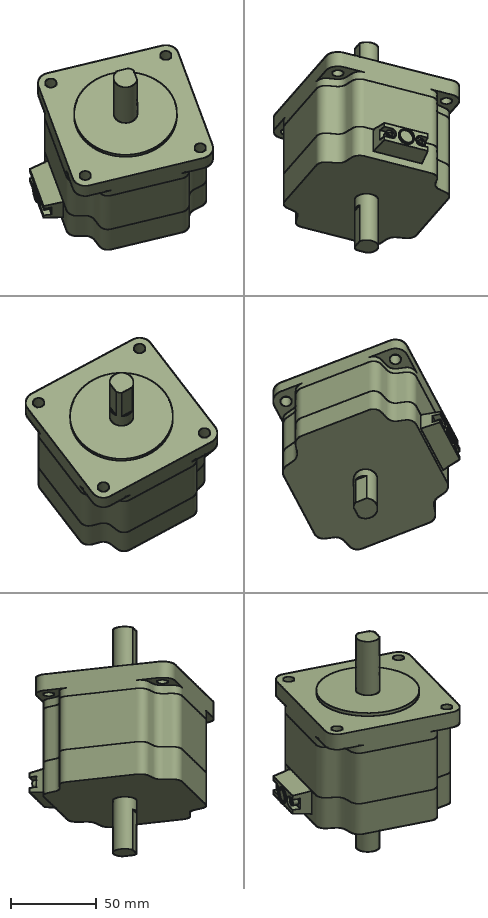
import cadquery as cq
import math


FRAME_WIDTH = 85.0
HALF_WIDTH = FRAME_WIDTH / 2
FRAME_LENGTH = 68.0
REAR_CAP_LENGTH = 20.0
FRONT_CAP_LENGTH = 15.1
FLANGE_THICKNESS = 10.0
FLANGE_BOTTOM = FRAME_LENGTH - FLANGE_THICKNESS
STATOR_TOP = FRAME_LENGTH - FRONT_CAP_LENGTH
STATOR_LENGTH = STATOR_TOP - REAR_CAP_LENGTH
PILOT_DIAMETER = 60.0
PILOT_HEIGHT = 2.0

HOLE_OFFSET = 35.0
HOLE_DIAMETER = 6.6
FLANGE_CORNER_RADIUS = HALF_WIDTH - HOLE_OFFSET
RELIEF_RADIUS = 6.5
RELIEF_ROUND_RADIUS = 6.0
RELIEF_WALL_ANGLE = 15.0

SHAFT_DIAMETER = 14.0
SHAFT_LENGTH = 137.0
REAR_SHAFT_LENGTH = 32.0
FLAT_LENGTH = 25.0
FLAT_OFFSET = 6.0

CONNECTOR_WIDTH = 31.2
CONNECTOR_HEIGHT = 15.1
CONNECTOR_TAPER = 1.6
CONNECTOR_DEPTH = 11.5
CONNECTOR_Z = REAR_CAP_LENGTH - CONNECTOR_HEIGHT / 2
TIP_Y = -HALF_WIDTH - CONNECTOR_DEPTH
RING_DIAMETER = 9.7
RING_BORE_DIAMETER = 8.8
RING_HEIGHT = 1.1

SLOT_WIDTH = 6.6
SLOT_DEPTH = 4.7
SLOT_FLOOR_Y = TIP_Y + SLOT_DEPTH
SCREW_OFFSET = 9.7
SCREW_DIAMETER = 5.1
SCREW_HEIGHT = 3.5
SOCKET_DIAMETER = 2.6
SOCKET_DEPTH = 2.7


def relief_corner():
    """Corner of the relieved section in the +X +Y quadrant, from the +X side round to the +Y side.

    Returns the start point and a list of (kind, points) steps.
    """
    angle = math.radians(RELIEF_WALL_ANGLE)
    sin_a, cos_a = math.sin(angle), math.cos(angle)

    hollow_start = (HOLE_OFFSET - RELIEF_RADIUS * sin_a, HOLE_OFFSET - RELIEF_RADIUS * cos_a)
    hollow_mid = HOLE_OFFSET - RELIEF_RADIUS * math.sqrt(0.5)

    round_x = HALF_WIDTH - RELIEF_ROUND_RADIUS
    round_end_x = round_x + RELIEF_ROUND_RADIUS * sin_a
    round_end_y = hollow_start[1] - (round_end_x - hollow_start[0]) * math.tan(angle)
    round_y = round_end_y - RELIEF_ROUND_RADIUS * cos_a
    mid_angle = (math.pi / 2 - angle) / 2
    round_mid = (
        round_x + RELIEF_ROUND_RADIUS * math.cos(mid_angle),
        round_y + RELIEF_ROUND_RADIUS * math.sin(mid_angle),
    )

    def mirrored(point):
        return (point[1], point[0])

    start = (HALF_WIDTH, round_y)
    round_end = (round_end_x, round_end_y)
    steps = [
        ("arc", [round_mid, round_end]),
        ("line", [hollow_start]),
        ("arc", [(hollow_mid, hollow_mid), mirrored(hollow_start)]),
        ("line", [mirrored(round_end)]),
        ("arc", [mirrored(round_mid), mirrored(start)]),
    ]
    return start, steps


def quarter_turned(point, turns):
    """Turn a point about the motor axis by quarter turns."""
    x, y = point
    for _ in range(turns):
        x, y = -y, x
    return (x, y)


def frame_prism(bottom, length):
    """Prism with the relieved motor section."""
    start, steps = relief_corner()
    outline = cq.Workplane("XY").workplane(offset=bottom).moveTo(*start)
    for turns in range(4):
        if turns > 0:
            outline = outline.lineTo(*quarter_turned(start, turns))
        for kind, points in steps:
            turned = [quarter_turned(point, turns) for point in points]
            if kind == "arc":
                outline = outline.threePointArc(*turned)
            else:
                outline = outline.lineTo(*turned[0])
    return outline.close().extrude(length)


def z_cylinder(diameter, bottom, length):
    """Cylinder on the motor axis."""
    return cq.Workplane("XY").workplane(offset=bottom).circle(diameter / 2).extrude(length)


SHAFT_ROD = z_cylinder(SHAFT_DIAMETER, -REAR_SHAFT_LENGTH, SHAFT_LENGTH)


def build_front_cap():
    """Mounting flange with its pilot, and the relieved section below it."""
    flange = (
        cq.Workplane("XY")
        .workplane(offset=FLANGE_BOTTOM)
        .rect(FRAME_WIDTH, FRAME_WIDTH)
        .extrude(FLANGE_THICKNESS)
        .edges("|Z")
        .fillet(FLANGE_CORNER_RADIUS)
    )
    holes = (
        cq.Workplane("XY")
        .workplane(offset=FLANGE_BOTTOM)
        .rect(2 * HOLE_OFFSET, 2 * HOLE_OFFSET, forConstruction=True)
        .vertices()
        .circle(HOLE_DIAMETER / 2)
        .extrude(FLANGE_THICKNESS)
    )
    skirt = frame_prism(STATOR_TOP, FLANGE_BOTTOM - STATOR_TOP)
    pilot = z_cylinder(PILOT_DIAMETER, FRAME_LENGTH, PILOT_HEIGHT)
    return flange.cut(holes).union(skirt).union(pilot).cut(SHAFT_ROD)


def build_stator():
    """Middle of the frame, between the two caps."""
    return frame_prism(REAR_CAP_LENGTH, STATOR_LENGTH).cut(SHAFT_ROD)


def connector_plane(y):
    """XZ sketch plane at the given Y whose normal is -Y, centred on the connector axis."""
    return cq.Workplane("XZ", origin=(0, y, CONNECTOR_Z))


def screw_slot(side):
    """Slot cut from the connector tip, open at the side and round at its inner end."""
    outer_x = CONNECTOR_WIDTH / 2
    straight = outer_x - SCREW_OFFSET
    channel = (
        connector_plane(SLOT_FLOOR_Y)
        .center(side * (SCREW_OFFSET + straight / 2), 0)
        .rect(straight, SLOT_WIDTH)
        .extrude(SLOT_DEPTH)
    )
    inner_end = (
        connector_plane(SLOT_FLOOR_Y)
        .center(side * SCREW_OFFSET, 0)
        .circle(SLOT_WIDTH / 2)
        .extrude(SLOT_DEPTH)
    )
    return channel.union(inner_end)


def screw_head(side):
    """Socket screw head standing on the slot floor."""
    head = (
        connector_plane(SLOT_FLOOR_Y)
        .center(side * SCREW_OFFSET, 0)
        .circle(SCREW_DIAMETER / 2)
        .extrude(SCREW_HEIGHT)
    )
    socket = (
        connector_plane(SLOT_FLOOR_Y - SCREW_HEIGHT)
        .center(side * SCREW_OFFSET, 0)
        .circle(SOCKET_DIAMETER / 2)
        .extrude(-SOCKET_DEPTH)
    )
    return head.cut(socket)


def build_connector():
    """Tapered connector housing with a thin raised ring and two screw heads in slots."""
    connector = (
        connector_plane(-HALF_WIDTH)
        .rect(CONNECTOR_WIDTH, CONNECTOR_HEIGHT)
        .workplane(offset=CONNECTOR_DEPTH)
        .rect(CONNECTOR_WIDTH - 2 * CONNECTOR_TAPER, CONNECTOR_HEIGHT - 2 * CONNECTOR_TAPER)
        .loft(ruled=True)
    )
    for side in (-1, 1):
        connector = connector.cut(screw_slot(side)).union(screw_head(side))
    ring = (
        connector_plane(TIP_Y)
        .circle(RING_DIAMETER / 2)
        .circle(RING_BORE_DIAMETER / 2)
        .extrude(RING_HEIGHT)
    )
    return connector.union(ring)


def build_rear_cap():
    """Rear end of the frame, carrying the connector."""
    return frame_prism(0, REAR_CAP_LENGTH).cut(SHAFT_ROD).union(build_connector())


def build_shaft():
    """Through shaft with a flat on the -X side and another on the +Y side at each end."""
    shaft_top = SHAFT_LENGTH - REAR_SHAFT_LENGTH
    radius = SHAFT_DIAMETER / 2
    shaft = SHAFT_ROD
    for bottom in (-REAR_SHAFT_LENGTH, shaft_top - FLAT_LENGTH):
        cutter = cq.Workplane("XY").box(
            radius, SHAFT_DIAMETER, FLAT_LENGTH, centered=(False, True, False)
        )
        cutter = cutter.translate((FLAT_OFFSET, 0, bottom))
        for angle in (90, 180):
            shaft = shaft.cut(cutter.rotate((0, 0, 0), (0, 0, 1), angle))
    return shaft


front_cap = build_front_cap()
stator = build_stator()
rear_cap = build_rear_cap()
shaft = build_shaft()

result = cq.Compound.makeCompound([front_cap.val(), stator.val(), rear_cap.val(), shaft.val()])